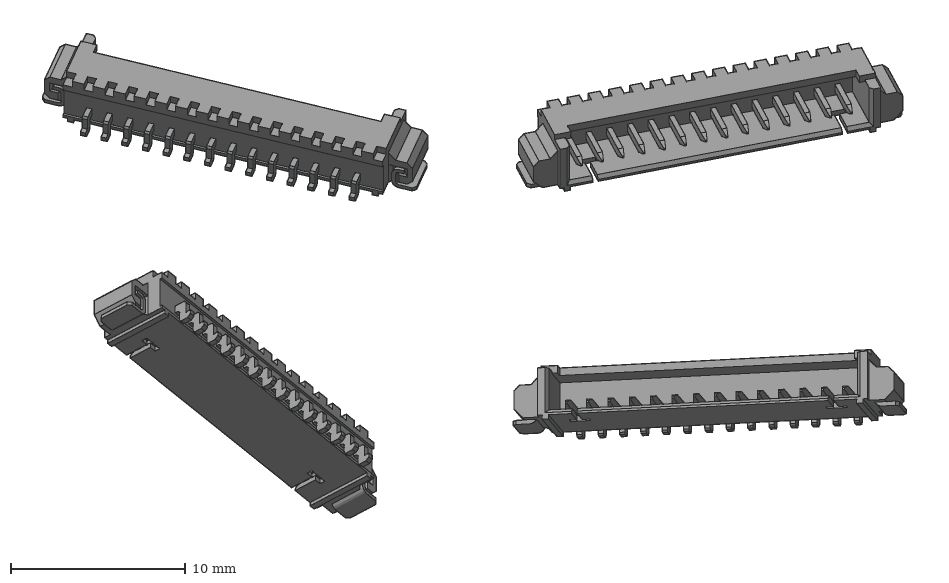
import cadquery as cq


overall_length = 22.65

pin_count = 14
pin_row_length = 16.26
pin_pitch = pin_row_length / (pin_count - 1)
pin_width = 0.32
pin_top = 1.35
pin_thickness = 0.52
pin_leg_inner_y = -0.18
pin_leg_outer_y = -0.65
pin_foot_y = -1.0
pin_foot_top = 0.48
pin_bend_chamfer = 0.11
pin_foot_chamfer = 0.2
pin_taper_start_y = 3.01
pin_tip_y = 3.5
pin_tip_width = 0.11
pin_xs = [(i - (pin_count - 1) / 2) * pin_pitch for i in range(pin_count)]

half_length = 9.67
housing_depth = 4.21
housing_bottom = 0.25
housing_top = 3.4
side_wall = 0.63
front_wall = 0.9
roof_thickness = 0.45
floor_top = 0.6
lead_in_size = 0.2
roof_back_y = 2.6
roof_corner_length = 0.97
roof_corner_back_y = 3.22
side_step_height = 0.35

front_recess = 0.14
recess_bottom = 0.45
recess_top = 2.5

notch_width = 0.52
notch_depth = 0.63
notch_height = 0.48
end_notch_length = 0.57

floor_slot_x = 7.52
floor_slot_width = 0.32
floor_slot_start_y = 2.72
floor_window_width = 1.18
floor_window_start_y = 2.38

foot_width = 0.36
foot_inset = 0.27

lug_front_y = 1.02
lug_back_y = 3.8
lug_reach = 1.47
lug_top = 2.2
lug_root_top = 2.67
lug_shoulder = 0.45
lug_top_chamfer = 0.35
lug_bottom_chamfer = 0.55

clip_reach = overall_length / 2 - half_length
clip_thickness = 0.25
clip_leg = 0.2
clip_hook_end = 0.95
clip_top = 1.5
clip_back_y = 3.3
clip_tail_chamfer = 0.2
clip_bend_radius = 0.45
pocket_flare = clip_leg


def box(x0, x1, y0, y1, z0, z1):
    return cq.Workplane("XY").box(x1 - x0, y1 - y0, z1 - z0, centered=False).translate((x0, y0, z0))


def side_profile(points, y0, y1):
    """Extrude an (x, z) outline from y0 to y1."""
    return cq.Workplane("XZ", origin=(0, y0, 0)).polyline(points).close().extrude(y0 - y1)


def make_housing():
    inner = half_length - side_wall
    body = box(-half_length, half_length, 0, housing_depth, housing_bottom, housing_top)

    body = body.cut(box(-inner, inner, front_wall, housing_depth, floor_top, housing_top - roof_thickness))
    corner_x = half_length - roof_corner_length
    body = body.cut(box(-corner_x, corner_x, roof_back_y, housing_depth, floor_top, housing_top))
    body = body.cut(box(-inner, inner, roof_corner_back_y, housing_depth, floor_top, housing_top))
    step_z = housing_top - side_step_height
    body = body.cut(box(-half_length, half_length, roof_corner_back_y, housing_depth, step_z, housing_top))

    lead_in = (
        cq.Workplane("XZ", origin=(0, housing_depth - lead_in_size, 0))
        .center(0, (floor_top + housing_top) / 2)
        .rect(2 * inner, housing_top - floor_top)
        .workplane(offset=-lead_in_size)
        .rect(2 * (inner + lead_in_size), housing_top - floor_top + 2 * lead_in_size)
        .loft(ruled=True)
    )
    body = body.cut(lead_in)

    body = body.cut(box(-half_length, half_length, 0, front_recess, recess_bottom, recess_top))

    notch_spans = [(x - notch_width / 2, x + notch_width / 2) for x in pin_xs]
    notch_spans.append((-half_length, end_notch_length - half_length))
    notch_spans.append((half_length - end_notch_length, half_length))
    for x0, x1 in notch_spans:
        body = body.cut(box(x0, x1, 0, notch_depth, housing_top - notch_height, housing_top))

    for x in (-floor_slot_x, floor_slot_x):
        for width, y0, y1 in (
            (floor_slot_width, floor_slot_start_y, housing_depth),
            (floor_window_width, floor_window_start_y, floor_slot_start_y),
        ):
            body = body.cut(box(x - width / 2, x + width / 2, y0, y1, housing_bottom, floor_top))

    rail_x = half_length - foot_inset - foot_width
    for x in (rail_x, -rail_x - foot_width):
        body = body.union(box(x, x + foot_width, 0, housing_depth, 0, housing_bottom))
    return body


def make_pin():
    bottom = pin_top - pin_thickness
    profile = [
        (pin_taper_start_y, bottom),
        (pin_taper_start_y, pin_top),
        (pin_leg_outer_y + pin_bend_chamfer, pin_top),
        (pin_leg_outer_y, pin_top - pin_bend_chamfer),
        (pin_leg_outer_y, pin_foot_top),
        (pin_foot_y, pin_foot_top),
        (pin_foot_y, pin_foot_chamfer),
        (pin_foot_y + pin_foot_chamfer, 0),
        (pin_leg_inner_y - pin_bend_chamfer, 0),
        (pin_leg_inner_y, pin_bend_chamfer),
        (pin_leg_inner_y, bottom - pin_bend_chamfer),
        (pin_leg_inner_y + pin_bend_chamfer, bottom),
    ]
    stem = cq.Workplane("YZ", origin=(-pin_width / 2, 0, 0)).polyline(profile).close().extrude(pin_width)
    tip = (
        cq.Workplane("XZ", origin=(0, pin_taper_start_y, pin_top - pin_thickness / 2))
        .rect(pin_width, pin_thickness)
        .workplane(offset=pin_taper_start_y - pin_tip_y)
        .rect(pin_tip_width, pin_tip_width)
        .loft(ruled=True)
    )
    return stem.union(tip)


def make_clip():
    """J-shaped solder clip on the +X end: hook, upright leg and flat tail."""
    leg_inner = half_length + clip_leg
    leg_outer = leg_inner + clip_thickness
    hook_x = half_length + clip_hook_end
    tail_x = half_length + clip_reach
    outline = [
        (leg_inner, 0),
        (leg_inner, clip_top),
        (hook_x, clip_top),
        (hook_x, clip_top - clip_thickness),
        (leg_outer, clip_top - clip_thickness),
        (leg_outer, clip_thickness),
        (tail_x, clip_thickness),
        (tail_x, 0),
    ]
    clip = side_profile(outline, lug_front_y, clip_back_y)
    clip = clip.edges("|Y and <X").fillet(clip_bend_radius)
    margin = clip_thickness / 10
    inner_bends = cq.selectors.BoxSelector(
        (leg_outer - margin, 0, 0), (leg_outer + margin, housing_depth, clip_top), boundingbox=True
    )
    clip = clip.edges("|Y").edges(inner_bends).fillet(clip_bend_radius - clip_thickness)
    return clip.edges("|Z and >X").chamfer(clip_tail_chamfer)


def make_lug():
    """End lug on the +X end, with a flared pocket around the clip at its front."""
    outer = half_length + lug_reach
    outline = [
        (half_length, housing_bottom),
        (half_length, lug_root_top),
        (half_length + lug_shoulder, lug_top),
        (outer - lug_top_chamfer, lug_top),
        (outer, lug_top - lug_top_chamfer),
        (outer, housing_bottom + lug_bottom_chamfer),
        (outer - lug_bottom_chamfer, housing_bottom),
    ]
    lug = side_profile(outline, lug_front_y, lug_back_y)

    def pocket_outline(growth):
        """Clip outline grown outward; the tail end runs past the lug."""
        leg_inner = half_length + clip_leg - growth
        leg_outer = half_length + clip_leg + clip_thickness + growth
        hook_x = half_length + clip_hook_end + growth
        return [
            (leg_inner, 0),
            (leg_inner, clip_top + growth),
            (hook_x, clip_top + growth),
            (hook_x, clip_top - clip_thickness - growth),
            (leg_outer, clip_top - clip_thickness - growth),
            (leg_outer, clip_thickness + growth),
            (half_length + clip_reach, clip_thickness + growth),
            (half_length + clip_reach, 0),
        ]

    pocket = (
        cq.Workplane("XZ", origin=(0, lug_front_y, 0))
        .polyline(pocket_outline(pocket_flare))
        .close()
        .workplane(offset=-pocket_flare)
        .polyline(pocket_outline(0))
        .close()
        .loft(ruled=True)
    )
    return lug.cut(pocket)


pin = make_pin()
lug_with_clip = make_lug().union(make_clip())

result = make_housing().union(lug_with_clip).union(lug_with_clip.mirror("YZ"))
for pin_x in pin_xs:
    result = result.union(pin.translate((pin_x, 0, 0)))